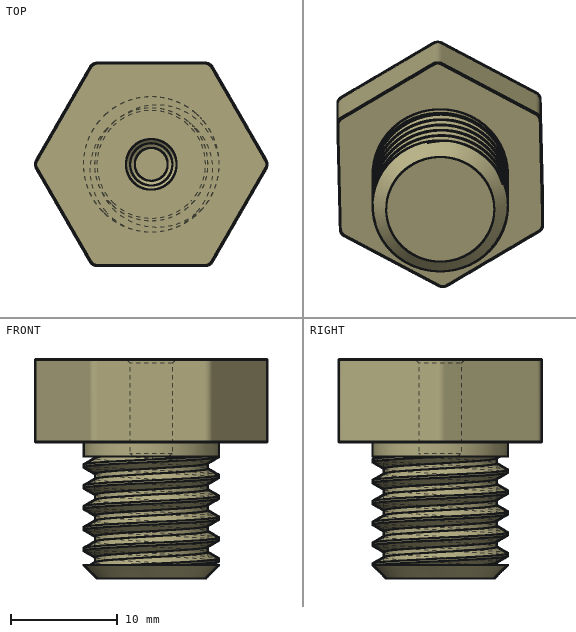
import cadquery as cq
import math

total_height = 20.58
head_height = 7.8
head_across_flats = 19.05
head_corner_radius = 0.8
head_edge_chamfer = 0.09

thread_major_diameter = 12.7
core_diameter = 10.6
collar_height = 1.33
tip_height = 1.28
major_radius = thread_major_diameter / 2
core_radius = core_diameter / 2
threads_per_diameter = 6.5
pitch = thread_major_diameter / threads_per_diameter
crest_width = pitch / 8
root_width = pitch * 3 / 4
crest_height_at_x_axis = 1.76

hole_diameter = 3.95
hole_mouth_diameter = 4.75
hole_floor_diameter = 3.09
hole_depth = head_height + collar_height
hole_point_angle = 118

thread_bottom = tip_height
head_bottom = total_height - head_height
thread_top = head_bottom - collar_height
thread_length = thread_top - thread_bottom


def make_head():
    """Hexagonal head with rounded corners and small chamfers along both rims."""
    across_corners = head_across_flats / math.cos(math.pi / 6)
    return (
        cq.Workplane("XY", origin=(0, 0, head_bottom))
        .polygon(6, across_corners)
        .extrude(head_height)
        .edges("|Z")
        .fillet(head_corner_radius)
        .faces("<Z or >Z")
        .chamfer(head_edge_chamfer)
    )


def make_shank():
    """Tapered tip, plain core and collar, turned about Z."""
    return (
        cq.Workplane("XZ")
        .moveTo(0, 0)
        .lineTo(major_radius - tip_height, 0)
        .lineTo(major_radius, thread_bottom)
        .lineTo(core_radius, thread_bottom)
        .lineTo(core_radius, thread_top)
        .lineTo(major_radius, thread_top)
        .lineTo(major_radius, head_bottom)
        .lineTo(0, head_bottom)
        .close()
        .revolve(360, (0, 0), (0, 1))
    )


def make_hole():
    """Blind hole with a 45 degree bevel at its mouth and a truncated drill point at its floor."""
    hole_radius = hole_diameter / 2
    mouth_radius = hole_mouth_diameter / 2
    floor_radius = hole_floor_diameter / 2
    floor = total_height - hole_depth
    point_height = (hole_radius - floor_radius) / math.tan(math.radians(hole_point_angle / 2))
    return (
        cq.Workplane("XZ")
        .moveTo(0, floor)
        .lineTo(floor_radius, floor)
        .lineTo(hole_radius, floor + point_height)
        .lineTo(hole_radius, total_height - (mouth_radius - hole_radius))
        .lineTo(mouth_radius, total_height)
        .lineTo(0, total_height)
        .close()
        .revolve(360, (0, 0), (0, 1))
    )


def make_bolt():
    """Head and shank as one body, with the hole cut from the top."""
    return make_head().union(make_shank()).cut(make_hole())


def make_thread():
    """Right-handed trapezoidal ridge wound on the core, trimmed flat at both ends."""
    turns = math.ceil(thread_length / pitch) + 2
    start = crest_height_at_x_axis - pitch

    def helix(radius, offset):
        wire = cq.Wire.makeHelix(pitch, turns * pitch, radius)
        return wire.translate(cq.Vector(0, 0, start + offset))

    corners = [
        (core_radius, -root_width / 2),
        (major_radius, -crest_width / 2),
        (major_radius, crest_width / 2),
        (core_radius, root_width / 2),
    ]
    helices = [helix(radius, offset) for radius, offset in corners]
    faces = []
    for index, lower in enumerate(helices):
        upper = helices[(index + 1) % len(helices)]
        faces.extend(cq.Face.makeRuledSurface(lower, upper).Faces())
    for end_height in (start, start + turns * pitch):
        points = [cq.Vector(radius, 0, end_height + offset) for radius, offset in corners]
        faces.append(cq.Face.makeFromWires(cq.Wire.makePolygon(points, close=True)))
    ridge = cq.Solid.makeSolid(cq.Shell.makeShell(faces))

    trim = (
        cq.Workplane("XY", origin=(0, 0, thread_bottom))
        .circle(thread_major_diameter)
        .extrude(thread_length)
    )
    return trim.intersect(cq.Workplane(ridge))


bolt = make_bolt()
thread = make_thread()
result = cq.Compound.makeCompound([*bolt.solids().vals(), *thread.solids().vals()])